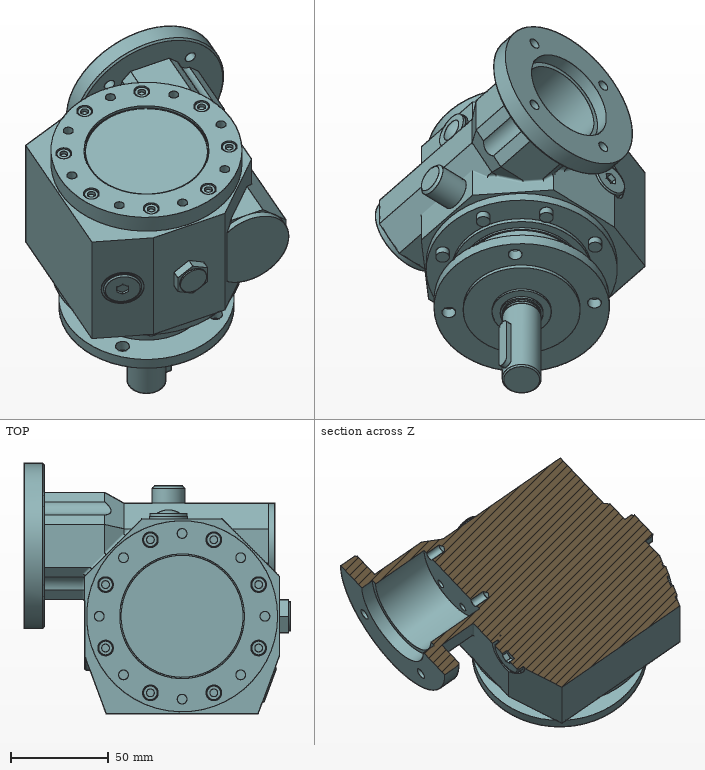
import cadquery as cq
import math

CENTRE_DISTANCE = 36.1

BODY_HALF = 50.0
BODY_HALF_HEIGHT = 35.0
REAR_CORNER_HALF = 20.5
FRONT_FACE_HALF = 39.0
FRONT_CORNER_Y = -20.2

COVER_DIA = 98.0
TOP_COVER_HEIGHT = 10.0
BOTTOM_COVER_HEIGHT = 5.0
RECESS_DIA = 64.0
RECESS_LAND_DIA = 62.6
RECESS_DEPTH = 1.0
LAND_GROOVE_DEPTH = 1.5
COVER_BOLT_RADIUS = 42.5
COVER_BOLT_COUNT = 8
THREAD_HOLE_DIA = 5.0
THREAD_HOLE_DEPTH = 10.0
SCREW_BORE_DIA = 8.0
SCREW_BORE_DEPTH = 4.5
SCREW_HEAD_DIA = 7.0
SCREW_HEAD_HEIGHT = 4.0
SCREW_SOCKET_DIA = 4.0
SCREW_SOCKET_DEPTH = 2.0

SPIGOT_DIA = 72.0
SPIGOT_BOTTOM = -42.2
HUB_LIP_DIA = 63.5
HUB_LIP_BOTTOM = -43.5
HUB_DIA = 62.0
FLANGE_DIA = 90.0
FLANGE_TOP = -62.0
FLANGE_BOTTOM = -68.4
REGISTER_DIA = 60.0
REGISTER_BOTTOM = -70.5
SEAL_DIA = 30.4
SEAL_BOTTOM = -71.8
SEAL_LIP_DIA = 22.0
SEAL_LIP_BOTTOM = -73.0
FLANGE_HOLE_DIA = 7.0
FLANGE_HOLE_CIRCLE = 75.0
FLANGE_HOLE_COUNT = 4
FLANGE_HOLE_START_ANGLE = 45.0
RELIEF_DIA = 19.6
RELIEF_TOP = -74.0
RELIEF_BOTTOM = -75.6
SHAFT_DIA = 20.0
SHAFT_END = -122.5
SHAFT_CHAMFER = 0.8
KEY_WIDTH = 6.0
KEY_TOP = -87.7
KEY_LENGTH = 32.0
KEY_OUTER_Y = 12.7

INPUT_FLANGE_DIA = 85.0
INPUT_FLANGE_FACE = -81.0
INPUT_FLANGE_BACK = -70.6
INPUT_FLANGE_CHAMFER = 1.0
INPUT_HOLE_DIA = 5.8
INPUT_HOLE_OFFSET = 23.0
INPUT_BORE_DIA = 45.0
INPUT_BORE_FLOOR = -42.0
INPUT_REGISTER_DIA = 50.0
INPUT_REGISTER_DEPTH = 7.0
FLOOR_HOLE_COUNT = 6
FLOOR_HOLE_RADIUS = 18.0
FLOOR_HOLE_DIA = 4.5
FLOOR_HOLE_DEPTH = 8.0
DRILL_POINT_ANGLE = 118.0
NECK_APOTHEM = 27.5
NECK_FLAT_HALF = 11.0
NECK_END = -39.7
BARREL_SCALE = 0.8
BARREL_START = -29.9
BARREL_END = 44.3
END_CAP_DIA = 44.0
END_CAP_FACE = 47.6
WRENCH_GROOVE_RADIUS = 7.1
CASTING_FILLET = 1.0
EDGE_TOLERANCE = 0.001

PLUG_DIA = 19.6
PLUG_CHAMFER = 0.8
PLUG_SPOTFACE_DIA = 22.0
PLUG_SOCKET_WIDTH = 6.0
PLUG_SOCKET_DEPTH = 3.0
LEFT_PLUG_Y = -18.0
LEFT_PLUG_DEPTH = 3.5
SLANT_PLUG_PROUD = 0.8
SLANT_SPOTFACE_DEPTH = 0.5
HEX_PLUG_WIDTH = 17.0
HEX_PLUG_FACE = 54.6
HEX_PLUG_BOSS_DIA = 15.0
HEX_PLUG_BOSS_FACE = 55.5
REAR_PLUG_X = -7.0
REAR_PLUG_Z = 23.0
SIGHT_SEAT_HEIGHT = 1.3
SIGHT_PLUG_DIA = 19.0
SIGHT_PLUG_HEIGHT = 2.8
SIGHT_DOME_DIA = 11.7
SIGHT_DOME_HEIGHT = 1.8
BREATHER_DIA = 17.0
BREATHER_END_Y = 67.0
BREATHER_CHAMFER = 1.4


def z_cylinder(diameter, bottom, top):
    return cq.Workplane("XY").workplane(offset=bottom).circle(diameter / 2).extrude(top - bottom)


def x_cylinder(diameter, start, end, y=CENTRE_DISTANCE, z=0.0):
    return cq.Workplane("YZ", origin=(start, y, z)).circle(diameter / 2).extrude(end - start)


def hexagon(plane, width, length):
    across_corners = width / math.cos(math.pi / 6)
    return cq.Workplane(plane).polygon(6, across_corners).extrude(length)


def circle_points(radius, count, start_angle=0.0):
    angles = [math.radians(start_angle + 360.0 * i / count) for i in range(count)]
    return [(radius * math.cos(a), radius * math.sin(a)) for a in angles]


def octagon_points(scale=1.0):
    apothem = NECK_APOTHEM * scale
    half = NECK_FLAT_HALF * scale
    return [
        (half, apothem), (apothem, half), (apothem, -half), (half, -apothem),
        (-half, -apothem), (-apothem, -half), (-apothem, half), (-half, apothem),
    ]


def gear_body():
    half_outline = [
        (FRONT_FACE_HALF, -BODY_HALF),
        (BODY_HALF, FRONT_CORNER_Y),
        (BODY_HALF, REAR_CORNER_HALF),
        (REAR_CORNER_HALF, BODY_HALF),
    ]
    mirrored = [(-x, y) for x, y in reversed(half_outline)]
    return (
        cq.Workplane("XY").workplane(offset=-BODY_HALF_HEIGHT)
        .polyline(half_outline + mirrored).close().extrude(2 * BODY_HALF_HEIGHT)
    )


def worm_barrel():
    """Octagonal neck behind the input flange, tapering into the smaller worm barrel."""
    neck_plane = cq.Workplane("YZ", origin=(INPUT_FLANGE_BACK, CENTRE_DISTANCE, 0))
    neck = neck_plane.polyline(octagon_points()).close().extrude(NECK_END - INPUT_FLANGE_BACK)
    taper = (
        cq.Workplane("YZ", origin=(NECK_END, CENTRE_DISTANCE, 0))
        .polyline(octagon_points()).close()
        .workplane(offset=BARREL_START - NECK_END)
        .polyline(octagon_points(BARREL_SCALE)).close()
        .loft(ruled=True)
    )
    barrel = (
        cq.Workplane("YZ", origin=(BARREL_START, CENTRE_DISTANCE, 0))
        .polyline(octagon_points(BARREL_SCALE)).close().extrude(BARREL_END - BARREL_START)
    )
    grooves = (
        neck_plane.rect(2 * INPUT_HOLE_OFFSET, 2 * INPUT_HOLE_OFFSET, forConstruction=True).vertices()
        .circle(WRENCH_GROOVE_RADIUS).extrude(BARREL_START - INPUT_FLANGE_BACK)
    )
    return neck.union(taper).union(barrel).cut(grooves)


def seam_edges(joined, first, second):
    """Edges of the joined solid that lie on the skins of both parts."""
    skins = [part.val().Shells()[0] for part in (first, second)]
    seam = []
    for edge in joined.edges().vals():
        middle = cq.Vertex.makeVertex(*edge.positionAt(0.5).toTuple())
        if all(skin.distance(middle) < EDGE_TOLERANCE for skin in skins):
            seam.append(edge)
    return seam


def housing():
    """Gear body and worm barrel, filleted where they meet on the input side and along the rear."""
    body = gear_body()
    barrel = worm_barrel()
    joined = body.union(barrel)
    seam = seam_edges(joined, body, barrel)
    filleted = [edge for edge in seam if edge.Center().x < REAR_CORNER_HALF - EDGE_TOLERANCE]
    joined = joined.newObject(filleted).fillet(CASTING_FILLET)
    return joined.union(x_cylinder(END_CAP_DIA, BARREL_END, END_CAP_FACE))


def input_flange():
    flange = x_cylinder(INPUT_FLANGE_DIA, INPUT_FLANGE_FACE, INPUT_FLANGE_BACK)
    flange = flange.edges(">X").chamfer(INPUT_FLANGE_CHAMFER)
    holes = (
        cq.Workplane("YZ", origin=(INPUT_FLANGE_FACE, CENTRE_DISTANCE, 0))
        .rect(2 * INPUT_HOLE_OFFSET, 2 * INPUT_HOLE_OFFSET, forConstruction=True).vertices()
        .circle(INPUT_HOLE_DIA / 2).extrude(INPUT_FLANGE_BACK - INPUT_FLANGE_FACE)
    )
    return flange.cut(holes)


def input_bore():
    """Stepped motor bore with a ring of drilled holes in its floor."""
    bore = x_cylinder(INPUT_BORE_DIA, INPUT_FLANGE_FACE, INPUT_BORE_FLOOR)
    register = x_cylinder(INPUT_REGISTER_DIA, INPUT_FLANGE_FACE, INPUT_FLANGE_FACE + INPUT_REGISTER_DEPTH)
    radius = FLOOR_HOLE_DIA / 2
    point_length = radius / math.tan(math.radians(DRILL_POINT_ANGLE / 2))
    drill = (
        cq.Workplane("XY")
        .polyline([(0, 0), (0, radius), (FLOOR_HOLE_DEPTH, radius), (FLOOR_HOLE_DEPTH + point_length, 0)])
        .close().revolve(360, (0, 0, 0), (1, 0, 0))
    )
    cutter = bore.union(register)
    for y, z in circle_points(FLOOR_HOLE_RADIUS, FLOOR_HOLE_COUNT):
        cutter = cutter.union(drill.translate((INPUT_BORE_FLOOR, CENTRE_DISTANCE + y, z)))
    return cutter


def top_cover():
    face = BODY_HALF_HEIGHT + TOP_COVER_HEIGHT
    screw_places = circle_points(COVER_BOLT_RADIUS, COVER_BOLT_COUNT, 180.0 / COVER_BOLT_COUNT)
    screw_seat = face - SCREW_BORE_DEPTH
    head_top = screw_seat + SCREW_HEAD_HEIGHT
    cover = z_cylinder(COVER_DIA, BODY_HALF_HEIGHT, face)
    cover = cover.cut(z_cylinder(RECESS_DIA, face - LAND_GROOVE_DEPTH, face))
    cover = cover.union(z_cylinder(RECESS_LAND_DIA, face - LAND_GROOVE_DEPTH, face - RECESS_DEPTH))
    threads = (
        cq.Workplane("XY").workplane(offset=face)
        .pushPoints(circle_points(COVER_BOLT_RADIUS, COVER_BOLT_COUNT))
        .circle(THREAD_HOLE_DIA / 2).extrude(-THREAD_HOLE_DEPTH)
    )
    bores = (
        cq.Workplane("XY").workplane(offset=screw_seat).pushPoints(screw_places)
        .circle(SCREW_BORE_DIA / 2).circle(SCREW_HEAD_DIA / 2).extrude(SCREW_BORE_DEPTH)
    )
    head_clearance = (
        cq.Workplane("XY").workplane(offset=head_top).pushPoints(screw_places)
        .circle(SCREW_HEAD_DIA / 2).extrude(face - head_top)
    )
    sockets = (
        cq.Workplane("XY").workplane(offset=head_top).pushPoints(screw_places)
        .circle(SCREW_SOCKET_DIA / 2).extrude(-SCREW_SOCKET_DEPTH)
    )
    return cover.cut(threads).cut(bores).cut(head_clearance).cut(sockets)


def bottom_cover():
    face = -BODY_HALF_HEIGHT - BOTTOM_COVER_HEIGHT
    heads = (
        cq.Workplane("XY").workplane(offset=face)
        .pushPoints(circle_points(COVER_BOLT_RADIUS, COVER_BOLT_COUNT, 180.0 / COVER_BOLT_COUNT))
        .circle(SCREW_HEAD_DIA / 2).extrude(-SCREW_HEAD_HEIGHT)
    )
    return z_cylinder(COVER_DIA, face, -BODY_HALF_HEIGHT).union(heads)


def output_side():
    """Hub, mounting flange, seal and keyed shaft below the bottom cover."""
    cover_face = -BODY_HALF_HEIGHT - BOTTOM_COVER_HEIGHT
    hub = z_cylinder(SPIGOT_DIA, SPIGOT_BOTTOM, cover_face)
    hub = hub.union(z_cylinder(HUB_LIP_DIA, HUB_LIP_BOTTOM, SPIGOT_BOTTOM))
    hub = hub.union(z_cylinder(HUB_DIA, FLANGE_TOP, HUB_LIP_BOTTOM))
    flange_holes = (
        cq.Workplane("XY").workplane(offset=FLANGE_BOTTOM)
        .pushPoints(circle_points(FLANGE_HOLE_CIRCLE / 2, FLANGE_HOLE_COUNT, FLANGE_HOLE_START_ANGLE))
        .circle(FLANGE_HOLE_DIA / 2).extrude(FLANGE_TOP - FLANGE_BOTTOM)
    )
    flange = z_cylinder(FLANGE_DIA, FLANGE_BOTTOM, FLANGE_TOP).cut(flange_holes)
    register = z_cylinder(REGISTER_DIA, REGISTER_BOTTOM, FLANGE_BOTTOM)
    seal = z_cylinder(SEAL_DIA, SEAL_BOTTOM, REGISTER_BOTTOM)
    seal_lip = z_cylinder(SEAL_LIP_DIA, SEAL_LIP_BOTTOM, SEAL_BOTTOM)
    shaft = z_cylinder(SHAFT_DIA, SHAFT_END, SEAL_LIP_BOTTOM).faces("<Z").chamfer(SHAFT_CHAMFER)
    relief = (
        cq.Workplane("XY").workplane(offset=RELIEF_BOTTOM)
        .circle(SHAFT_DIA / 2).circle(RELIEF_DIA / 2).extrude(RELIEF_TOP - RELIEF_BOTTOM)
    )
    shaft = shaft.cut(relief)
    key = (
        cq.Workplane("XZ", origin=(0, KEY_OUTER_Y, KEY_TOP - KEY_LENGTH / 2))
        .slot2D(KEY_LENGTH, KEY_WIDTH, 90).extrude(KEY_OUTER_Y)
    )
    return hub.union(flange).union(register).union(seal).union(seal_lip).union(shaft).union(key)


def socket_plug(length):
    """Chamfered socket plug with its base on the XY plane, pointing along +Z."""
    plug = cq.Workplane("XY").circle(PLUG_DIA / 2).extrude(length).faces(">Z").chamfer(PLUG_CHAMFER)
    socket = hexagon("XY", PLUG_SOCKET_WIDTH, PLUG_SOCKET_DEPTH)
    return plug.cut(socket.translate((0, 0, length - PLUG_SOCKET_DEPTH)))


def fit_plug(part, surface_point, normal, depth, proud):
    """Spot-face the part around a point and set a socket plug standing proud of it."""
    base = tuple(p - depth * n for p, n in zip(surface_point, normal))
    place = cq.Plane(origin=base, xDir=(0, 0, 1), normal=normal).location
    length = depth + proud
    spotface = cq.Workplane("XY").circle(PLUG_SPOTFACE_DIA / 2).extrude(length)
    part = part.cut(cq.Workplane(spotface.val().moved(place)))
    return part.union(cq.Workplane(socket_plug(length).val().moved(place)))


def hex_plug():
    head = hexagon("XY", HEX_PLUG_WIDTH, HEX_PLUG_FACE - BODY_HALF)
    head = head.rotate((0, 0, 0), (0, 1, 0), 90).translate((BODY_HALF, 0, 0))
    return head.union(x_cylinder(HEX_PLUG_BOSS_DIA, HEX_PLUG_FACE, HEX_PLUG_BOSS_FACE, y=0.0))


def rear_plugs():
    """Domed sight plug above the barrel and breather below it, both on the rear face."""
    sight_plane = cq.Workplane("XZ", origin=(REAR_PLUG_X, BODY_HALF, REAR_PLUG_Z))
    sight_seat = sight_plane.circle(PLUG_DIA / 2).extrude(-SIGHT_SEAT_HEIGHT)
    sight = sight_plane.circle(SIGHT_PLUG_DIA / 2).extrude(-SIGHT_PLUG_HEIGHT)
    base_radius = SIGHT_DOME_DIA / 2
    dome_radius = (base_radius ** 2 + SIGHT_DOME_HEIGHT ** 2) / (2 * SIGHT_DOME_HEIGHT)
    half_angle = math.asin(base_radius / dome_radius) / 2
    arc_middle = (
        dome_radius * math.sin(half_angle),
        SIGHT_DOME_HEIGHT - dome_radius * (1 - math.cos(half_angle)),
    )
    dome = (
        cq.Workplane("XY").lineTo(base_radius, 0)
        .threePointArc(arc_middle, (0, SIGHT_DOME_HEIGHT))
        .close().revolve(360, (0, 0, 0), (0, 1, 0))
        .translate((REAR_PLUG_X, BODY_HALF + SIGHT_PLUG_HEIGHT, REAR_PLUG_Z))
    )
    breather = (
        cq.Workplane("XZ", origin=(REAR_PLUG_X, BODY_HALF, -REAR_PLUG_Z))
        .circle(BREATHER_DIA / 2).extrude(BODY_HALF - BREATHER_END_Y)
        .faces(">Y").chamfer(BREATHER_CHAMFER)
    )
    return sight_seat.union(sight).union(dome).union(breather)


def gearbox():
    part = housing().union(input_flange()).cut(input_bore())
    part = part.union(top_cover()).union(bottom_cover()).union(output_side())
    part = fit_plug(part, (-BODY_HALF, LEFT_PLUG_Y, 0), (-1, 0, 0), LEFT_PLUG_DEPTH, 0.0)

    slant_run = BODY_HALF - FRONT_FACE_HALF
    slant_rise = FRONT_CORNER_Y + BODY_HALF
    slant_length = math.hypot(slant_run, slant_rise)
    slant_normal = (slant_rise / slant_length, -slant_run / slant_length, 0)
    slant_middle = ((BODY_HALF + FRONT_FACE_HALF) / 2, (FRONT_CORNER_Y - BODY_HALF) / 2, 0)
    part = fit_plug(part, slant_middle, slant_normal, SLANT_SPOTFACE_DEPTH, SLANT_PLUG_PROUD)

    return part.union(hex_plug()).union(rear_plugs())


result = gearbox()